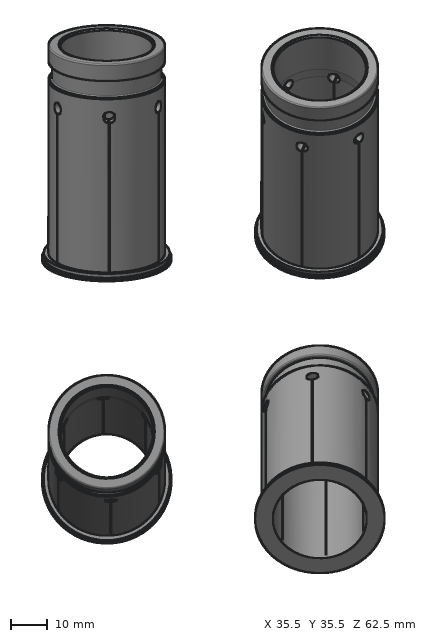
import cadquery as cq

height = 62.5
body_diameter = 32.0
head_fillet = 0.4
shoulder_chamfer = 0.4
mouth_chamfer = 0.5

head_height = 5
groove_diameter = 30
groove_width = 4.8
groove_fillet = 0.4

flange_height = 2.0
flange_diameter = 35.5
flange_rim_height = 0.9
flange_step_diameter = 34.5
flange_chamfer = 0.2

head_bore_diameter = 25.3
lower_bore_diameter = 25.7
head_bore_bottom = 50
lower_bore_top = 47.0

slit_count = 6
slit_width = 0.3
relief_diameter = 3.25
relief_height = 47.0

groove_top = height - head_height
shoulder_height = groove_top - groove_width
body_radius = body_diameter / 2
slit_angles = [index * 360 / slit_count for index in range(slit_count)]


def disc(diameter, bottom, top):
    """Solid cylinder on the Z axis."""
    return cq.Workplane("XY").workplane(offset=bottom).circle(diameter / 2).extrude(top - bottom)


def make_outside():
    """Head, filleted groove, slotted body and stepped flange, without the bore."""
    head = disc(body_diameter, groove_top, height).edges("%CIRCLE").fillet(head_fillet)
    body = disc(body_diameter, 0, shoulder_height).faces(">Z").edges().chamfer(shoulder_chamfer)
    groove_core = disc(groove_diameter, shoulder_height, groove_top)
    rim = disc(flange_diameter, 0, flange_rim_height).faces(">Z").edges().chamfer(flange_chamfer)
    step = disc(flange_step_diameter, 0, flange_height)
    smallest_circle = cq.selectors.RadiusNthSelector(0)
    lower_part = body.union(groove_core)
    lower_part = lower_part.edges("%CIRCLE").edges(smallest_circle).edges("<Z").fillet(groove_fillet)
    return lower_part.union(head).union(rim).union(step)


def make_bore():
    """Revolved bore with a short taper and a chamfered mouth at the head."""
    head_radius = head_bore_diameter / 2
    lower_radius = lower_bore_diameter / 2
    return (
        cq.Workplane("XZ")
        .moveTo(0, 0)
        .lineTo(lower_radius, 0)
        .lineTo(lower_radius, lower_bore_top)
        .lineTo(head_radius, head_bore_bottom)
        .lineTo(head_radius, height - mouth_chamfer)
        .lineTo(head_radius + mouth_chamfer, height)
        .lineTo(0, height)
        .close()
        .revolve(360, (0, 0, 0), (0, 1, 0))
    )


def make_slit(angle):
    """Radial slit above the flange and its relief hole, turned from the -Y side."""
    relief = (
        cq.Workplane("XZ")
        .center(0, relief_height)
        .circle(relief_diameter / 2)
        .extrude(body_radius)
    )
    slit = cq.Workplane("XY").box(
        slit_width, body_radius, relief_height - flange_height, centered=(True, False, False)
    ).translate((0, -body_radius, flange_height))
    return relief.union(slit).rotate((0, 0, 0), (0, 0, 1), angle)


result = make_outside().cut(make_bore())
for slit_angle in slit_angles:
    result = result.cut(make_slit(slit_angle))